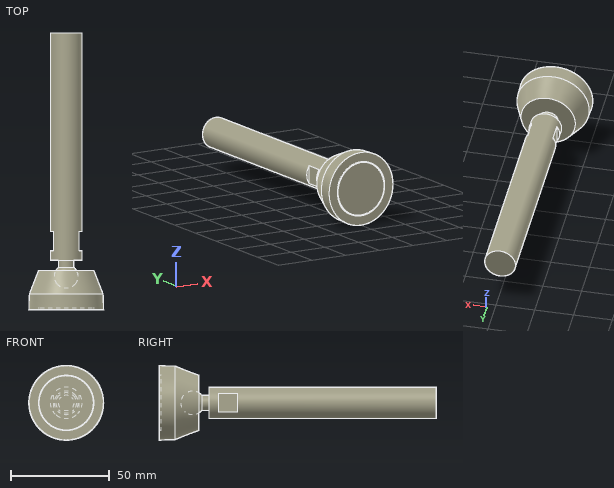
import cadquery as cq
import math

total_length = 140.0

base_diameter = 38.0
shoulder_diameter = 37.4
foot_top_diameter = 28.0
shoulder_height = 8.0
foot_height = 20.0
groove_outer_diameter = 28.0
groove_inner_diameter = 27.5
groove_depth = 1.0

rod_diameter = 16.0
rod_start = 25.0
neck_diameter = 7.8
ball_diameter = 12.0
neck_fillet = 1.3

neck_root_radius = neck_diameter / 2 + neck_fillet
ball_center = foot_height - math.sqrt((ball_diameter / 2) ** 2 - neck_root_radius**2)

flat_start = 30.0
flat_length = 9.5
across_flats = 13.0


def cylinder_along_y(diameter, start, end):
    """Cylinder on the Y axis between two Y positions."""
    return cq.Workplane("XZ", origin=(0, start, 0)).circle(diameter / 2).extrude(start - end)


def make_ball():
    """Ball joint at the foot end of the spindle."""
    return cq.Workplane("XY").sphere(ball_diameter / 2).translate((0, ball_center, 0))


def make_neck():
    """Thin neck that flares into the ball with a concave fillet."""
    neck_radius = neck_diameter / 2
    inset = neck_fillet * (1 - math.sqrt(0.5))
    return (
        cq.Workplane("XY")
        .moveTo(0, ball_center)
        .lineTo(0, rod_start)
        .lineTo(neck_radius, rod_start)
        .lineTo(neck_radius, foot_height + neck_fillet)
        .threePointArc((neck_radius + inset, foot_height + inset), (neck_root_radius, foot_height))
        .close()
        .revolve(360, (0, 0), (0, 1))
    )


def make_spindle():
    """Rod with wrench flats, a flared neck and a ball end."""
    rod = cylinder_along_y(rod_diameter, rod_start, total_length)
    flat_depth = (rod_diameter - across_flats) / 2
    for side in (-1, 1):
        flat_cut = cq.Workplane("XY").box(flat_depth, flat_length, rod_diameter)
        cut_x = side * (across_flats + flat_depth) / 2
        rod = rod.cut(flat_cut.translate((cut_x, flat_start + flat_length / 2, 0)))
    return rod.union(make_neck()).union(make_ball())


def make_foot():
    """Tapered foot with a ring groove underneath and a socket for the ball."""
    half_outline = [
        (0, 0),
        (base_diameter / 2, 0),
        (shoulder_diameter / 2, shoulder_height),
        (foot_top_diameter / 2, foot_height),
        (0, foot_height),
    ]
    foot = cq.Workplane("XY").polyline(half_outline).close().revolve(360, (0, 0), (0, 1))
    groove = cylinder_along_y(groove_outer_diameter, 0, groove_depth).cut(
        cylinder_along_y(groove_inner_diameter, 0, groove_depth)
    )
    return foot.cut(groove).cut(make_ball())


spindle = make_spindle()
foot = make_foot()

result = cq.Compound.makeCompound([spindle.val(), foot.val()])